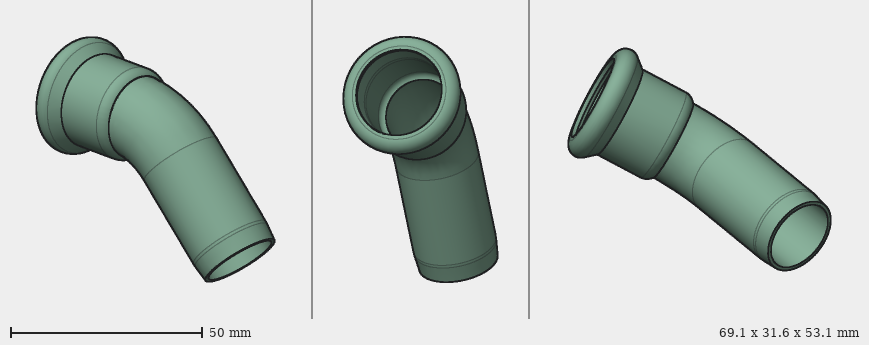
import cadquery as cq
import math

overall_length = 69.1
tube_radius = 22.0 / 2
bore_radius = 19.0 / 2
spigot_tip_radius = 10.5
bend_angle = 45.0
bend_radius = 26.25

socket_radius = 25.3 / 2
bead_radius = 31.55 / 2
bead_round = bead_radius - socket_radius
bead_cone_end = 8.0
shoulder_start = 20.9
shoulder_end = 24.0

mouth_radius = 23.2 / 2
mouth_depth = 1.25
seal_start = 2.2
seal_start_radius = 12.1
seal_end = 6.7
seal_end_radius = 11.2
socket_bore_start = 8.1
socket_bore_radius = 22.2 / 2

taper_start = 5.5
cone_start = 4.7

bend_sin = math.sin(math.radians(bend_angle))
bend_cos = math.cos(math.radians(bend_angle))
bend_end_x = shoulder_start + bend_radius * bend_sin
bend_end_z = -bend_radius * (1 - bend_cos)
spigot_length = (overall_length - spigot_tip_radius * bend_sin - bend_end_x) / bend_cos


def spin(profile):
    """Revolve a closed (axial, radial) profile about the X axis."""
    return profile.close().revolve(360, (0, 0, 0), (1, 0, 0))


def socket_outside():
    bead_contact = math.acos(bead_round / (bead_cone_end - bead_round))
    bead_end = (
        bead_round * (1 + math.cos(bead_contact)),
        socket_radius + bead_round * math.sin(bead_contact),
    )
    bead_crest = (bead_round, bead_radius)
    return spin(
        cq.Workplane("XY")
        .lineTo(0, socket_radius)
        .threePointArc(bead_crest, bead_end)
        .lineTo(bead_cone_end, socket_radius)
        .lineTo(shoulder_start, socket_radius)
        .tangentArcPoint((shoulder_end, tube_radius), relative=False)
        .lineTo(shoulder_end, 0)
    )


def socket_inside():
    shoulder_drop = socket_radius - tube_radius
    shoulder_run = shoulder_end - shoulder_start
    outer_round = (shoulder_run**2 + shoulder_drop**2) / (2 * shoulder_drop)
    inner_round = outer_round - (socket_radius - socket_bore_radius)
    stop_drop = socket_bore_radius - bore_radius
    stop_run = math.sqrt(inner_round**2 - (inner_round - stop_drop) ** 2)
    stop_end = shoulder_start + stop_run
    return spin(
        cq.Workplane("XY")
        .lineTo(0, mouth_radius)
        .lineTo(mouth_depth, mouth_radius)
        .lineTo(seal_start, seal_start_radius)
        .lineTo(seal_end, seal_end_radius)
        .lineTo(socket_bore_start, socket_bore_radius)
        .lineTo(shoulder_start, socket_bore_radius)
        .tangentArcPoint((stop_end, bore_radius), relative=False)
        .lineTo(stop_end, 0)
    )


def bend(radius):
    """Solid round bar following the bend, turning from +X towards -Z."""
    return (
        cq.Workplane("YZ", origin=(shoulder_start, 0, 0))
        .circle(radius)
        .revolve(bend_angle, (0, -bend_radius, 0), (1, -bend_radius, 0))
    )


def place_on_bend_end(body):
    return body.rotate((0, 0, 0), (0, 1, 0), bend_angle).translate((bend_end_x, 0, bend_end_z))


def cone_start_radius():
    """Radius where the blend arc meets the tip cone tangentially (small-angle form)."""
    blend_half = (taper_start - cone_start) / 2
    taper_slope = (tube_radius - spigot_tip_radius) / (taper_start - blend_half)
    return tube_radius - taper_slope * blend_half


def spigot_outside():
    body = spin(
        cq.Workplane("XY")
        .lineTo(0, tube_radius)
        .lineTo(spigot_length - taper_start, tube_radius)
        .tangentArcPoint((spigot_length - cone_start, cone_start_radius()), relative=False)
        .lineTo(spigot_length, spigot_tip_radius)
        .lineTo(spigot_length, 0)
    )
    return place_on_bend_end(body)


def spigot_bore():
    return place_on_bend_end(cq.Workplane("YZ").circle(bore_radius).extrude(spigot_length))


outside = socket_outside().union(bend(tube_radius)).union(spigot_outside())
inside = socket_inside().union(bend(bore_radius)).union(spigot_bore())
result = outside.cut(inside)